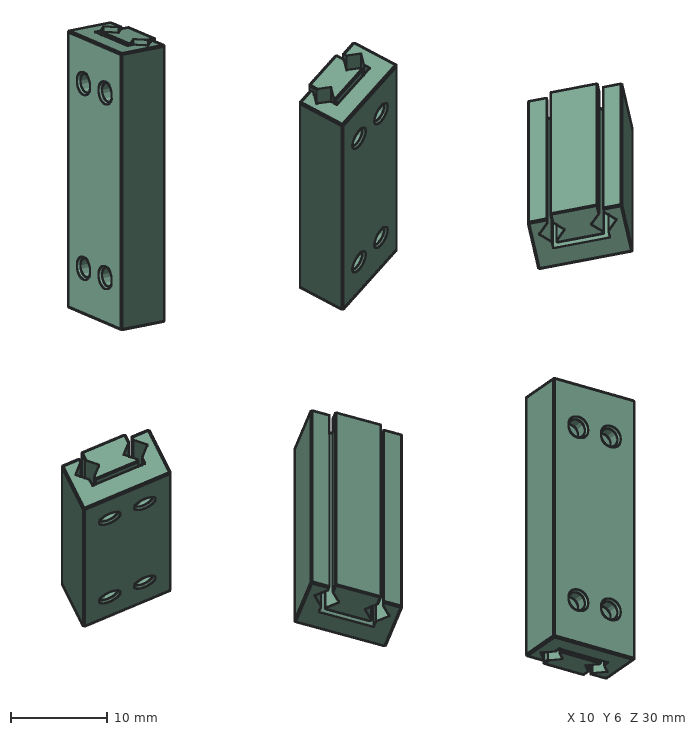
import cadquery as cq

length = 30.0
total_depth = 6.0
back_face = -total_depth / 2
front_face = total_depth / 2
groove_offset = 3.95
groove_center = back_face + groove_offset
groove_depth = 1.1

rail_width = 10.0
rail_chamfer = 0.15
rail_depth = 5.5
rail_front = back_face + rail_depth
channel_width = 6.0
web_thickness = 2.1
channel_floor = back_face + web_thickness

slide_width = 5.0
slide_chamfer = 0.1
slide_gap = (channel_width - slide_width) / 2
slide_back = channel_floor + slide_gap

hole_diameter = 2.0
hole_mouth_diameter = 2.45
hole_mouth_depth = 0.3
hole_depth = 1.6
hole_spacing_x = 4.0
hole_spacing_z = 20.0


def bar(width, back, front):
    """Full-length rectangular bar centered on X, between two Y positions."""
    return (
        cq.Workplane("XY")
        .box(width, front - back, length)
        .translate((0, (back + front) / 2, 0))
    )


def v_groove(apex_x, mouth_x):
    """Full-length 90 degree V-groove cutter with its mouth in the plane x = mouth_x."""
    half_mouth = abs(apex_x - mouth_x)
    return (
        cq.Workplane("XY", origin=(0, 0, -length / 2))
        .moveTo(apex_x, groove_center)
        .lineTo(mouth_x, groove_center + half_mouth)
        .lineTo(mouth_x, groove_center - half_mouth)
        .close()
        .extrude(length)
    )


def mounting_holes():
    """Flat-bottomed blind holes with conical mouths at the back face."""
    points = [
        (x, z)
        for x in (-hole_spacing_x / 2, hole_spacing_x / 2)
        for z in (-hole_spacing_z / 2, hole_spacing_z / 2)
    ]
    cutters = cq.Workplane("XY")
    for x, z in points:
        hole = (
            cq.Workplane("XY")
            .moveTo(0, 0)
            .lineTo(hole_mouth_diameter / 2, 0)
            .lineTo(hole_diameter / 2, hole_mouth_depth)
            .lineTo(hole_diameter / 2, hole_depth)
            .lineTo(0, hole_depth)
            .close()
            .revolve(360, (0, 0, 0), (0, 1, 0))
            .translate((x, back_face, z))
        )
        cutters = cutters.add(hole)
    return cutters.combine()


def make_outer_rail():
    """U-shaped rail with V-grooves facing inward from the channel walls."""
    rail = bar(rail_width, back_face, rail_front).edges().chamfer(rail_chamfer)
    rail = rail.cut(bar(channel_width, channel_floor, front_face))
    wall = channel_width / 2
    for side in (-1, 1):
        rail = rail.cut(v_groove(side * (wall + groove_depth), side * wall))
    return rail.cut(mounting_holes())


def make_inner_rail():
    """Narrow rail with V-grooves facing outward."""
    slide = bar(slide_width, slide_back, front_face).edges().chamfer(slide_chamfer)
    wall = slide_width / 2
    for side in (-1, 1):
        slide = slide.cut(v_groove(side * (wall - groove_depth), side * wall))
    return slide


outer_rail = make_outer_rail()
inner_rail = make_inner_rail()

result = cq.Compound.makeCompound([outer_rail.val(), inner_rail.val()])